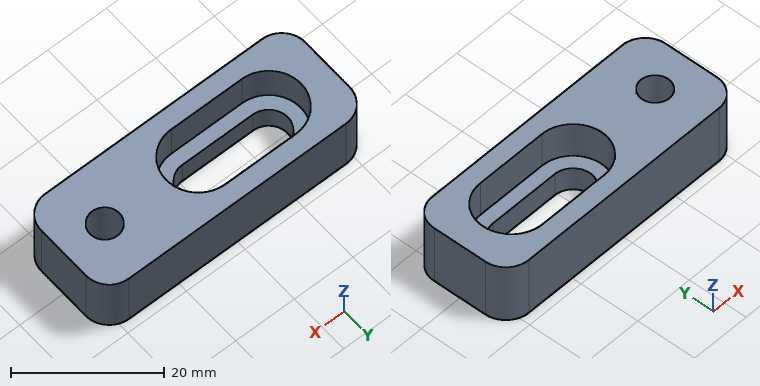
import cadquery as cq

length = 45.0
width = 17.0
height = 10.0
corner_radius = 4.0

slot_center_from_left = 16.0
slot_center_distance = 12.0
pocket_width = 11.0
pocket_depth = 6.0
slot_width = 6.5

hole_diameter = 5.0
hole_from_right = 7.0

slot_x = slot_center_from_left - length / 2
hole_x = length / 2 - hole_from_right


def slot_cutter(cutter_width, depth):
    """Round-ended slot reaching down from the top face by the given depth."""
    return (
        cq.Workplane("XY", origin=(slot_x, 0, height))
        .slot2D(slot_center_distance + cutter_width, cutter_width)
        .extrude(-depth)
    )


block = cq.Workplane("XY").box(length, width, height, centered=(True, True, False))
block = block.edges("|Z").fillet(corner_radius)

hole = cq.Workplane("XY").center(hole_x, 0).circle(hole_diameter / 2).extrude(height)

result = (
    block
    .cut(slot_cutter(pocket_width, pocket_depth))
    .cut(slot_cutter(slot_width, height))
    .cut(hole)
)